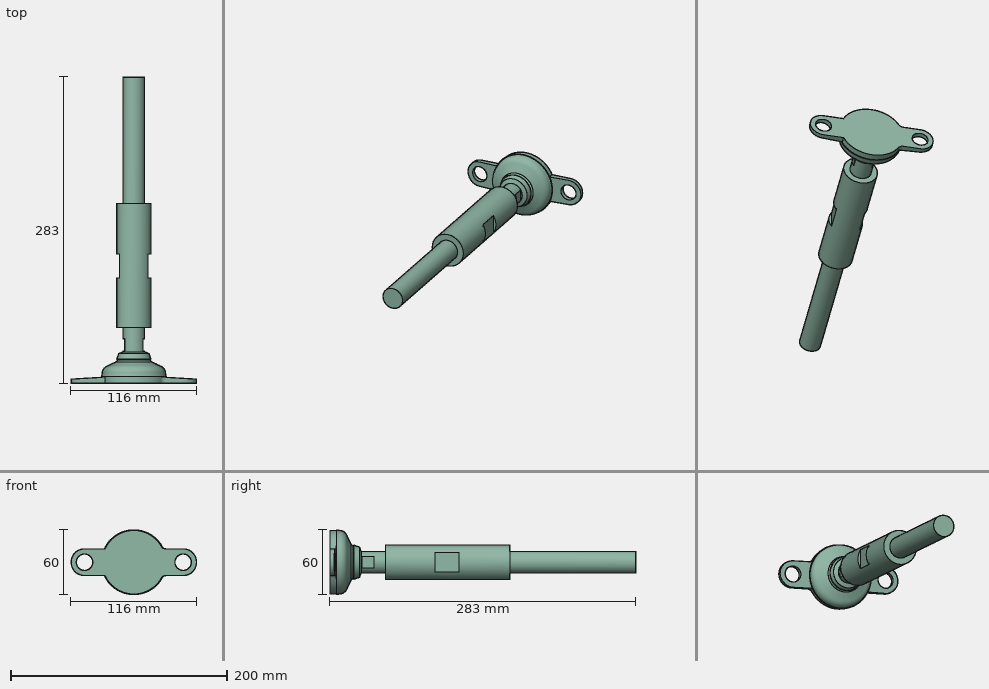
import cadquery as cq
import math


total_length = 283.0
foot_height = 29.1

rod_diameter = 20.0
sleeve_diameter = 32.0
sleeve_start = 51.5
sleeve_length = 115.0
sleeve_flat_start = 97.4
sleeve_flat_length = 22.0
sleeve_flat_width = 26.5
rod_flat_start = 30.0
rod_flat_length = 11.0
rod_flat_width = 17.0

rim_diameter = 60.0
sole_radius = 29.5
rim_height = 6.2
shoulder_height = 9.0
shoulder_radius = 7.4
cone_top_radius = 16.7
cone_top_height = 19.8
groove_radius = 15.0
groove_height = 21.5
collar_radius = 15.8
collar_height = 22.4
collar_top_radius = 14.2
collar_top_height = 27.5

lug_span = 116.0
lug_width = 25.0
lug_root_thickness = 5.7
lug_tip_thickness = 4.0
lug_hole_diameter = 15.0
lug_fillet = 5.0

lug_end_radius = lug_width / 2
lug_hole_x = lug_span / 2 - lug_end_radius


def cylinder(diameter, start, length):
    """Cylinder on the Y axis, from Y = start towards +Y."""
    plane = cq.Workplane("XZ", origin=(0, start, 0))
    return plane.circle(diameter / 2).extrude(-length)


def cut_flats(body, across_flats, diameter, start, length):
    """Cut two opposite wrench flats, facing +X and -X."""
    depth = diameter / 2
    for side in (-1, 1):
        cutter = (
            cq.Workplane("XY")
            .box(depth, length, diameter)
            .translate((side * (across_flats + depth) / 2, start + length / 2, 0))
        )
        body = body.cut(cutter)
    return body


def make_spindle():
    rod = cylinder(rod_diameter, foot_height, total_length - foot_height)
    rod = cut_flats(rod, rod_flat_width, rod_diameter, rod_flat_start, rod_flat_length)
    sleeve = cylinder(sleeve_diameter, sleeve_start, sleeve_length)
    sleeve = cut_flats(
        sleeve, sleeve_flat_width, sleeve_diameter, sleeve_flat_start, sleeve_flat_length
    )
    return rod.union(sleeve)


def make_foot_dome():
    """Turned foot: sole, rim, rounded shoulder, cone, groove and bevelled collar."""
    centre_r = sole_radius - shoulder_radius
    cone_run = centre_r - cone_top_radius
    cone_rise = cone_top_height - shoulder_height
    centre_distance = math.hypot(cone_run, cone_rise)
    tangent_angle = math.atan2(cone_rise, -cone_run) - math.acos(shoulder_radius / centre_distance)

    def shoulder_point(angle):
        return (
            centre_r + shoulder_radius * math.cos(angle),
            shoulder_height + shoulder_radius * math.sin(angle),
        )

    return (
        cq.Workplane("XY")
        .lineTo(sole_radius, 0)
        .lineTo(sole_radius, rim_height)
        .lineTo(rim_diameter / 2, rim_height)
        .lineTo(sole_radius, shoulder_height)
        .threePointArc(shoulder_point(tangent_angle / 2), shoulder_point(tangent_angle))
        .lineTo(cone_top_radius, cone_top_height)
        .lineTo(groove_radius, groove_height)
        .lineTo(collar_radius, collar_height)
        .lineTo(collar_top_radius, collar_top_height)
        .lineTo(rod_diameter / 2, foot_height)
        .lineTo(0, foot_height)
        .close()
        .revolve(360, (0, 0, 0), (0, 1, 0))
    )


def make_lug_fillets():
    """Concave corners between the +X lug and the round sole, one at +Z and one at -Z."""
    centre_z = lug_end_radius + lug_fillet
    centre_distance = sole_radius + lug_fillet
    centre_x = math.sqrt(centre_distance**2 - centre_z**2)
    touch_ratio = sole_radius / centre_distance
    touch_x = centre_x * touch_ratio
    touch_z = centre_z * touch_ratio
    corner = (
        cq.Workplane("XZ")
        .moveTo(touch_x, 0)
        .lineTo(centre_x, 0)
        .lineTo(centre_x, centre_z)
        .lineTo(touch_x, touch_z)
        .close()
        .extrude(-rim_height)
        .cut(cq.Workplane("XZ").center(centre_x, centre_z).circle(lug_fillet).extrude(-rim_height))
    )
    return corner.union(corner.mirror("XY"))


def make_lugs():
    """Both lugs as one bar with round ends, its top sloping down to each tip."""
    outline = cq.Workplane("XZ").slot2D(lug_span, lug_width).extrude(-rim_height)
    outline = outline.union(make_lug_fillets())
    side_profile = (
        cq.Workplane("XY")
        .moveTo(-lug_span / 2, 0)
        .lineTo(lug_span / 2, 0)
        .lineTo(lug_span / 2, lug_tip_thickness)
        .lineTo(sole_radius, lug_root_thickness)
        .lineTo(-sole_radius, lug_root_thickness)
        .lineTo(-lug_span / 2, lug_tip_thickness)
        .close()
        .extrude(rim_diameter / 2, both=True)
    )
    return outline.intersect(side_profile)


def make_foot():
    holes = (
        cq.Workplane("XZ")
        .pushPoints([(-lug_hole_x, 0), (lug_hole_x, 0)])
        .circle(lug_hole_diameter / 2)
        .extrude(-rim_height)
    )
    return make_foot_dome().union(make_lugs()).cut(holes)


spindle = make_spindle()
foot = make_foot()

result = cq.Compound.makeCompound([spindle.val(), foot.val()])